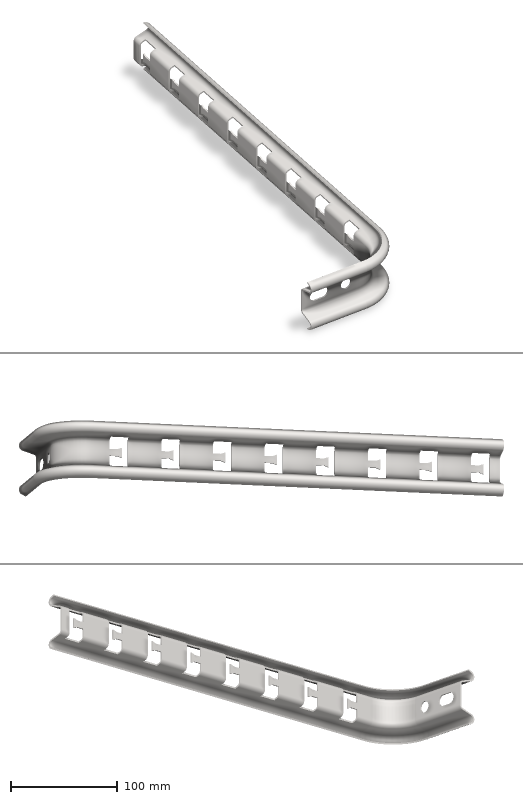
import cadquery as cq
import math

length = 444.5
leg_reach = 109.5
rail_height = 55.0
rail_depth = 18.2
sheet = 1.5

web_half = 10.2
web_radius = 4.5
groove_radius = 3.5
lip_tilt = math.radians(25)
lip_length = 4.22

bend_outer = 46.5

slot_count = 8
slot_start = 10.2
last_slot_offset = 350.3
slot_pitch = last_slot_offset / (slot_count - 1)
slot_width = 18.0
slot_depth = 6.5
tongue_length = 12.0
tongue_head_length = 4.5
tongue_head_height = 10.0
tongue_neck_height = 6.5

hole_diameter = 11.0
hole_from_end = 50.0
long_hole_length = 20.5
long_hole_from_end = 19.5

leg_web = length - rail_depth
bend_start = length - bend_outer
bend_centre_y = rail_depth - bend_outer
leg_end_y = rail_depth - leg_reach

web_centre = (web_radius, web_half)
curl_radius = groove_radius + sheet
curl_top = curl_radius * math.cos(lip_tilt) + lip_length * math.sin(lip_tilt)
groove_centre = (rail_depth - curl_radius, rail_height / 2 - curl_top)
centre_depth = groove_centre[0] - web_centre[0]
centre_rise = groove_centre[1] - web_centre[1]
flange_tilt = math.atan2(centre_rise, centre_depth) - math.asin(
    (web_radius + groove_radius) / math.hypot(centre_depth, centre_rise)
)


def arc_point(centre, radius, angle):
    """Point (depth, height) at an angle in radians measured from the depth direction."""
    return centre[0] + radius * math.cos(angle), centre[1] + radius * math.sin(angle)


def face_points(offset):
    """Upper half of one sheet face, from web to lip, at an offset behind the front face."""
    bend = web_radius - offset
    curl = groove_radius + offset
    flange_normal = flange_tilt + math.pi / 2
    lip_start = arc_point(groove_centre, curl, math.pi / 2 - lip_tilt)
    lip_end = arc_point(lip_start, lip_length, math.pi - lip_tilt)
    return [
        (offset, web_half),
        arc_point(web_centre, bend, (math.pi + flange_normal) / 2),
        arc_point(web_centre, bend, flange_normal),
        arc_point(groove_centre, curl, flange_normal - math.pi),
        arc_point(groove_centre, curl, (flange_tilt - lip_tilt) / 2),
        lip_start,
        lip_end,
    ]


def rail_section():
    """Closed hat section with curled lips, standing at the free end of the arm."""
    front = face_points(0)
    back = face_points(sheet)

    def mirrored(points):
        return [(depth, -height) for depth, height in points]

    def outward(sketch, points):
        return (
            sketch.threePointArc(points[1], points[2])
            .lineTo(*points[3])
            .threePointArc(points[4], points[5])
            .lineTo(*points[6])
        )

    def inward(sketch, points):
        return (
            sketch.lineTo(*points[6])
            .lineTo(*points[5])
            .threePointArc(points[4], points[3])
            .lineTo(*points[2])
            .threePointArc(points[1], points[0])
        )

    sketch = cq.Workplane("YZ").moveTo(*front[0])
    sketch = inward(outward(sketch, front), back)
    sketch = sketch.lineTo(*mirrored(back)[0])
    sketch = inward(outward(sketch, mirrored(back)), mirrored(front))
    return sketch.close()


def bent_rail():
    """Section swept along the arm, round the bend and down the leg."""
    path = (
        cq.Workplane("XY")
        .lineTo(bend_start, 0)
        .radiusArc((leg_web, bend_centre_y), bend_outer - rail_depth)
        .lineTo(leg_web, leg_end_y)
    )
    return rail_section().sweep(path, transition="right")


def slot_cutter(start):
    """Block that opens the web and its bends but leaves the tongue standing."""
    end = start + slot_width
    block = cq.Workplane("XY").box(slot_width, slot_depth, rail_height, centered=(False, False, True))
    tip = end - tongue_length
    neck = tip + tongue_head_length
    upper = [
        (tip, tongue_head_height / 2),
        (neck, tongue_neck_height / 2),
        (end, tongue_neck_height / 2),
    ]
    lower = [(x, -z) for x, z in reversed(upper)]
    tongue = cq.Workplane("XZ").polyline(upper + lower).close().extrude(-slot_depth)
    return block.translate((start, 0, 0)).cut(tongue)


def leg_hole_plane(from_end):
    """Plane facing along X, centred at a hole of the leg web."""
    return cq.Workplane("YZ", origin=(leg_web, leg_end_y + from_end, 0))


result = bent_rail()
for index in range(slot_count):
    result = result.cut(slot_cutter(slot_start + index * slot_pitch))
result = result.cut(leg_hole_plane(hole_from_end).circle(hole_diameter / 2).extrude(rail_depth))
result = result.cut(
    leg_hole_plane(long_hole_from_end).slot2D(long_hole_length, hole_diameter).extrude(rail_depth)
)